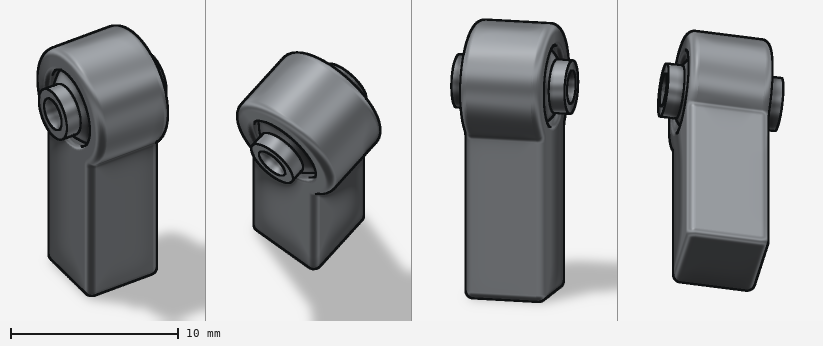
import cadquery as cq
import math

total_length = 16.53
head_radius = 3.75
body_width = 5.0
edge_round = 0.5
neck_round = 0.5

ball_radius = 3.0
socket_clearance = 0.25
socket_radius = ball_radius + socket_clearance
mouth_round = 0.25

sleeve_length = 7.0
sleeve_diameter = 3.2
sleeve_bore = 2.0

stem_half = body_width / 2
stem_bottom = head_radius - total_length


def cylinder_y(radius, length):
    """Cylinder along Y, centred on the origin."""
    return cq.Workplane("XZ").circle(radius).extrude(length / 2, both=True)


def housing_outline():
    """Round head blended into a straight stem by a concave arc on each side."""
    arc_x = stem_half + neck_round
    arc_z = -math.sqrt((head_radius + neck_round) ** 2 - arc_x**2)

    head_share = head_radius / (head_radius + neck_round)
    touch_x = arc_x * head_share
    touch_z = arc_z * head_share

    end_angle = math.atan2(-arc_z, -arc_x)
    mid_angle = (end_angle + math.pi) / 2
    mid_x = arc_x + neck_round * math.cos(mid_angle)
    mid_z = arc_z + neck_round * math.sin(mid_angle)

    return (
        cq.Workplane("XZ")
        .moveTo(-stem_half, stem_bottom)
        .lineTo(stem_half, stem_bottom)
        .lineTo(stem_half, arc_z)
        .threePointArc((mid_x, mid_z), (touch_x, touch_z))
        .threePointArc((0, head_radius), (-touch_x, touch_z))
        .threePointArc((-mid_x, mid_z), (-stem_half, arc_z))
        .close()
    )


def make_housing():
    """Rod-end housing with rounded edges and a spherical socket open at both ends."""
    body = housing_outline().extrude(stem_half, both=True)
    body = body.faces("<Y or >Y or <Z").edges().fillet(edge_round)

    body = body.cut(cq.Workplane("XZ").sphere(socket_radius))
    reach = (math.sqrt(socket_radius**2 - stem_half**2) + head_radius - edge_round) / 2
    mouth_zone = cq.selectors.BoxSelector(
        (-reach, -body_width, -reach), (reach, body_width, reach), boundingbox=True
    )
    return body.faces("<Y or >Y").edges("%CIRCLE").edges(mouth_zone).fillet(mouth_round)


def make_ball():
    """Ball with a bored sleeve projecting from both sides."""
    ball = cq.Workplane("XZ").sphere(ball_radius)
    sleeve = cylinder_y(sleeve_diameter / 2, sleeve_length)
    bore = cylinder_y(sleeve_bore / 2, sleeve_length)
    return ball.union(sleeve).cut(bore)


housing = make_housing()
ball = make_ball()

result = cq.Compound.makeCompound([housing.val(), ball.val()])